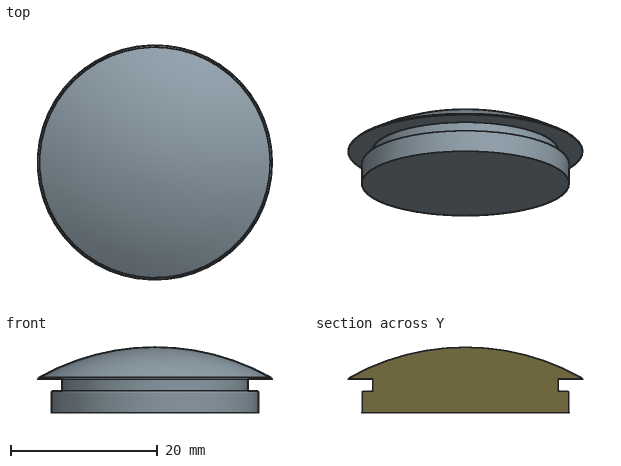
import cadquery as cq

cap_diameter = 32.0
total_height = 9.0

plug_diameter = 28.3
plug_height = 3.0
plug_rounding = 0.3

neck_diameter = 25.4
neck_height = 1.6

rim_height = 0.3
rim_inset = 0.3

cap_radius = cap_diameter / 2
plug_radius = plug_diameter / 2
neck_radius = neck_diameter / 2
cap_bottom = plug_height + neck_height
dome_bottom = cap_bottom + rim_height
dome_edge_radius = cap_radius - rim_inset

dome_rise = total_height - dome_bottom
sphere_radius = (dome_edge_radius**2 + dome_rise**2) / (2 * dome_rise)
dome_mid_radius = dome_edge_radius / 2
sphere_center_z = total_height - sphere_radius
dome_mid_z = sphere_center_z + (sphere_radius**2 - dome_mid_radius**2) ** 0.5

half_section = (
    cq.Workplane("XZ")
    .lineTo(plug_radius, 0)
    .lineTo(plug_radius, plug_height - plug_rounding)
    .tangentArcPoint((plug_radius - plug_rounding, plug_height), relative=False)
    .lineTo(neck_radius, plug_height)
    .lineTo(neck_radius, cap_bottom)
    .lineTo(cap_radius, cap_bottom)
    .lineTo(dome_edge_radius, dome_bottom)
    .threePointArc((dome_mid_radius, dome_mid_z), (0, total_height))
    .close()
)

result = half_section.revolve(360, (0, 0, 0), (0, 1, 0))